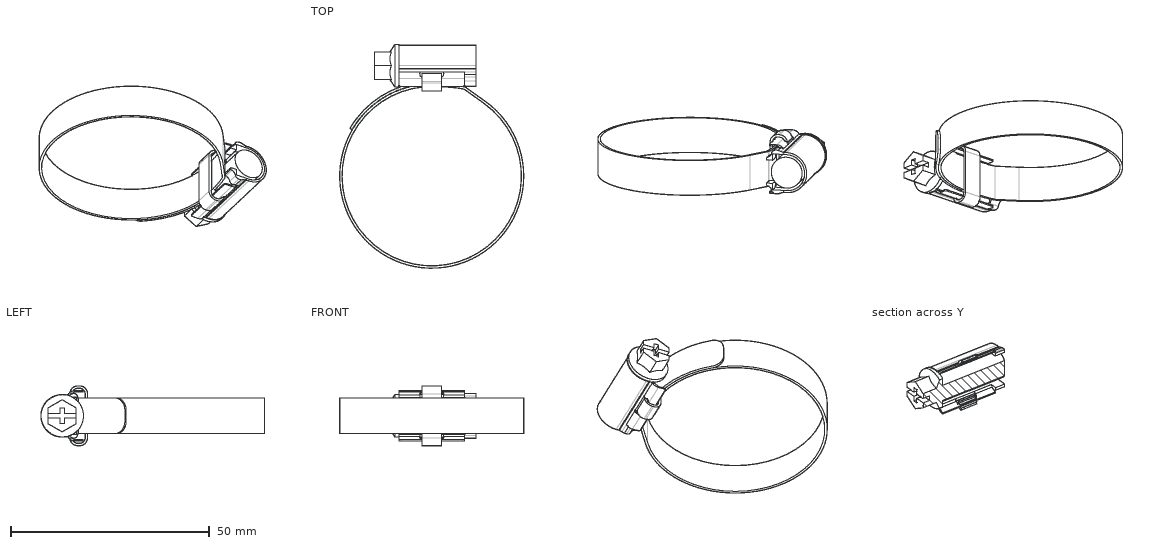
import cadquery as cq
import math

band_radius = 23.2
band_thickness = 0.65
band_width = 9.0
flat_bottom = 22.45
right_tangent_angle = 54.5
sag_start_x = 2.4
sag_end = (8.2, 22.55)
strand_start_x = 8.5
tail_gap = 0.02
tail_end_angle = 149.7
tail_corner_radius = 3.0

axis_y = 27.82
flange_radius = 5.38
flange_thickness = 1.05
cone_run = 1.7
cone_end_radius = 2.75
hex_flats = 7.0
hex_end_x = -14.45
slot_width = 1.2
cross_height = 3.95
slot_depth = 2.0
shank_radius = 4.0

housing_start_x = -8.26
housing_end_x = 11.18
skirt_start_x = 8.3
arch_radius = 5.2
bore_radius = 4.65
bulge_half = 5.66
bulge_top_y = 25.6
bulge_bottom_y = 24.92
bulge_foot_half = 5.0
bulge_foot_y = 23.95
skirt_inner_half = 3.0
skirt_top_y = 24.2
skirt_knee_y = 22.88
skirt_knee_half = 3.7
skirt_middle = (23.5, 4.1)
skirt_bottom_y = 22.57
skirt_bottom_half = 3.5
groove_y = 27.1
groove_size = 0.15
wing_root_y = 26.28
wing_root_half = 5.4
wing_bend_y = 24.6
wing_overlap = 0.2
wing_half = 6.35
wing_thickness = 0.35
wing_knee = (25.9, 5.2)
wing_edge_y = 22.55
wing_corner_radius = 0.5
notch_half = 2.97
notch_top_y = 26.45
notch_bottom_y = 24.85
notch_chamfer = 0.5

clip_length = 5.0
clip_thickness = 0.65
clip_bottom_y = 21.4
clip_half = 7.55
hook_radius = 2.02
hook_flat = 0.45


def polar(radius, degrees):
    angle = math.radians(degrees)
    return (radius * math.cos(angle), radius * math.sin(angle))


def extrude_along_x(profile, start_x, end_x):
    """Extrude a sketch drawn on the YZ plane between two X positions."""
    return profile.extrude(end_x - start_x).translate((start_x, 0, 0))


def both_sides(body):
    """The body joined to its mirror image below the XY plane."""
    return body.union(body.mirror("XY"))


def ring_outline():
    """Outer face of the ring: flat top, sag, short bend, and a strand tangent to the circle."""
    flat_y = flat_bottom + band_thickness
    flat_start = (-math.sqrt(band_radius**2 - flat_y**2), flat_y)
    tangent_point = polar(band_radius, right_tangent_angle)
    strand_rise = (tangent_point[0] - strand_start_x) / math.tan(math.radians(right_tangent_angle))
    strand_start = (strand_start_x, tangent_point[1] + strand_rise)
    return (
        cq.Workplane("XY").moveTo(*flat_start).lineTo(sag_start_x, flat_y)
        .tangentArcPoint(sag_end, relative=False)
        .tangentArcPoint(strand_start, relative=False)
        .lineTo(*tangent_point).threePointArc((0, -band_radius), flat_start).close()
    )


def build_tail():
    inner = band_radius + tail_gap
    outer = inner + band_thickness
    inner_y = flat_bottom + band_thickness
    outer_y = inner_y + band_thickness
    inner_start = (-math.sqrt(inner**2 - inner_y**2), inner_y)
    outer_start = (-math.sqrt(outer**2 - outer_y**2), outer_y)
    middle_angle = (tail_end_angle + 90) / 2
    tail = (
        cq.Workplane("XY").moveTo(sag_start_x, inner_y).lineTo(*inner_start)
        .threePointArc(polar(inner, middle_angle), polar(inner, tail_end_angle))
        .lineTo(*polar(outer, tail_end_angle))
        .threePointArc(polar(outer, middle_angle), outer_start)
        .lineTo(sag_start_x, outer_y).close()
        .extrude(band_width / 2, both=True)
    )
    end_x, end_y = polar((inner + outer) / 2, tail_end_angle)
    corners = cq.selectors.BoxSelector(
        (end_x - band_thickness, end_y - band_thickness, -band_width),
        (end_x + band_thickness, end_y + band_thickness, band_width),
    )
    radial_edges = tail.edges("#Z").edges("%LINE").edges(corners)
    return radial_edges.fillet(tail_corner_radius)


def build_band():
    outer = ring_outline().extrude(band_width / 2, both=True)
    inner = ring_outline().offset2D(-band_thickness).extrude(band_width / 2, both=True)
    return outer.cut(inner).union(build_tail())


def build_screw():
    flange_start_x = housing_start_x - flange_thickness
    turned = (
        cq.Workplane("XY").moveTo(flange_start_x - cone_run, 0)
        .lineTo(flange_start_x - cone_run, cone_end_radius)
        .lineTo(flange_start_x, flange_radius)
        .lineTo(housing_start_x, flange_radius)
        .lineTo(housing_start_x, shank_radius)
        .lineTo(housing_end_x, shank_radius)
        .lineTo(housing_end_x, 0).close()
        .revolve(360, (0, 0, 0), (1, 0, 0))
    )
    hexagon = cq.Workplane("YZ").polygon(6, hex_flats, circumscribed=True)
    hexagon = hexagon.extrude(flange_start_x - hex_end_x)
    head = hexagon.translate((hex_end_x, 0, 0))
    recess_plane = cq.Workplane("YZ", origin=(hex_end_x, 0, 0))
    slot = recess_plane.rect(2 * hex_flats, slot_width).extrude(slot_depth)
    cross = recess_plane.rect(slot_width, cross_height).extrude(slot_depth)
    screw = turned.union(head).cut(slot).cut(cross)
    return screw.translate((0, axis_y, 0))


def build_shell():
    arch_middle = polar(arch_radius, 45)
    outer_half = (
        cq.Workplane("YZ").moveTo(axis_y + arch_radius, 0)
        .threePointArc((axis_y + arch_middle[0], arch_middle[1]), (axis_y, arch_radius))
        .lineTo(groove_y, arch_radius)
        .lineTo(groove_y, arch_radius - groove_size)
        .lineTo(groove_y - groove_size, arch_radius - groove_size)
        .lineTo(groove_y - groove_size, arch_radius)
        .lineTo(wing_root_y, wing_root_half)
        .lineTo(bulge_top_y, bulge_half)
        .lineTo(bulge_bottom_y, bulge_half)
        .tangentArcPoint((bulge_foot_y, bulge_foot_half), relative=False)
        .lineTo(bulge_foot_y, 0).close()
    )
    shell = both_sides(extrude_along_x(outer_half, housing_start_x, housing_end_x))
    bore = cq.Workplane("YZ").center(axis_y, 0).circle(bore_radius)
    mouth = (
        cq.Workplane("YZ").center((axis_y + bulge_foot_y) / 2, 0)
        .rect(axis_y - bulge_foot_y, 2 * bore_radius)
    )
    under_wings = (
        cq.Workplane("YZ").center((wing_root_y + bulge_foot_y) / 2, 0)
        .rect(wing_root_y - bulge_foot_y, 2 * wing_half)
    )
    shell = shell.cut(extrude_along_x(bore, housing_start_x, housing_end_x))
    shell = shell.cut(extrude_along_x(mouth, housing_start_x, housing_end_x))
    return shell.cut(extrude_along_x(under_wings, housing_start_x, skirt_start_x))


def build_skirt():
    """Lip that turns inward below the bulge at the rear of the housing."""
    skirt = (
        cq.Workplane("YZ").moveTo(skirt_top_y, bulge_foot_half)
        .lineTo(bulge_foot_y, bulge_foot_half)
        .threePointArc(skirt_middle, (skirt_knee_y, skirt_knee_half))
        .lineTo(skirt_bottom_y, skirt_bottom_half)
        .lineTo(skirt_bottom_y, skirt_inner_half)
        .lineTo(skirt_top_y, skirt_inner_half).close()
    )
    return extrude_along_x(skirt, skirt_start_x, housing_end_x)


def build_wing():
    inner_half = wing_half - wing_thickness
    wing = (
        cq.Workplane("YZ").moveTo(wing_edge_y, wing_half).lineTo(wing_bend_y, wing_half)
        .tangentArcPoint((wing_root_y, wing_root_half), relative=False)
        .lineTo(wing_root_y + wing_overlap, wing_root_half - wing_overlap)
        .lineTo(wing_root_y, bore_radius)
        .lineTo(*wing_knee)
        .lineTo(wing_bend_y, inner_half)
        .lineTo(wing_edge_y, inner_half).close()
    )
    wing = extrude_along_x(wing, housing_start_x, skirt_start_x)
    wing = wing.edges("|Z").edges("<Y").fillet(wing_corner_radius)
    notch = (
        cq.Workplane("XY", origin=(0, 0, bore_radius)).moveTo(0, (notch_top_y + notch_bottom_y) / 2)
        .rect(2 * notch_half, notch_top_y - notch_bottom_y).extrude(wing_half)
        .edges("|Z and <Y").chamfer(notch_chamfer)
    )
    return wing.cut(notch)


def build_housing():
    return build_shell().union(both_sides(build_skirt())).union(both_sides(build_wing()))


def clip_half_profile(inset):
    """Upper half of the clip outline, shrunk by `inset`, closed along the XY plane."""
    radius = hook_radius - inset
    bend_z = clip_half - hook_radius
    first_y = clip_bottom_y + hook_radius
    second_y = first_y + hook_flat
    return (
        cq.Workplane("YZ").moveTo(clip_bottom_y + inset, 0).lineTo(clip_bottom_y + inset, bend_z)
        .radiusArc((first_y, bend_z + radius), radius)
        .lineTo(second_y, bend_z + radius)
        .radiusArc((second_y + radius, bend_z), radius)
        .lineTo(second_y + radius, 0).close()
    )


def build_clip(housing):
    half_length = clip_length / 2
    outer = extrude_along_x(clip_half_profile(0), -half_length, half_length)
    inner = extrude_along_x(clip_half_profile(clip_thickness), -half_length, half_length)
    bend_z = clip_half - hook_radius
    below_hook = cq.Workplane("XY").box(
        2 * clip_length, 2 * hook_radius, 2 * bend_z
    ).translate((0, clip_bottom_y + 2 * hook_radius, 0))
    return both_sides(outer.cut(inner).cut(below_hook)).cut(housing)


band = build_band()
screw = build_screw()
housing = build_housing()
clip = build_clip(housing)

result = cq.Compound.makeCompound([band.val(), screw.val(), housing.val(), clip.val()])